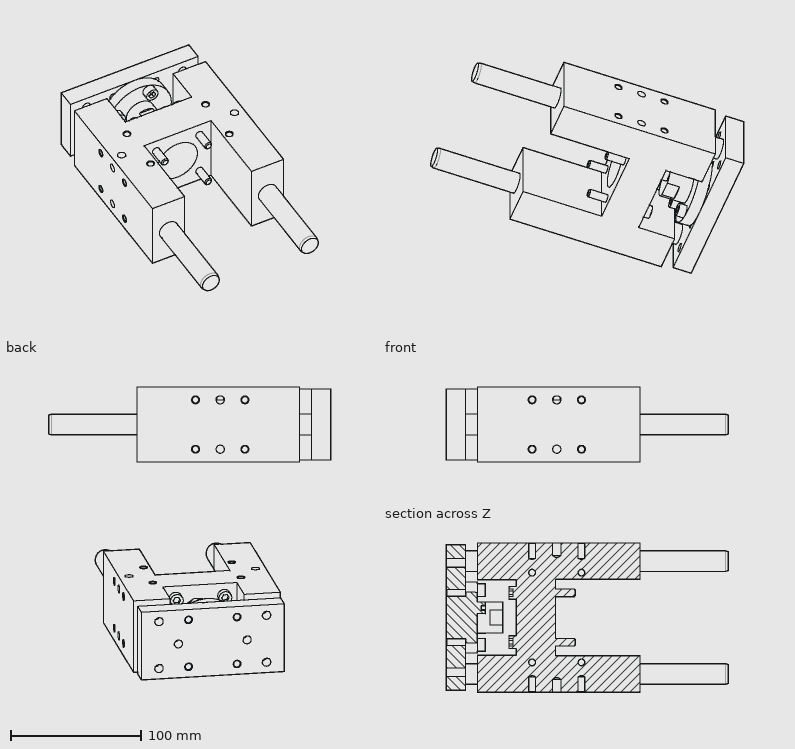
import cadquery as cq
import math

total_length = 217.0
sides = (-1, 1)

plate_thickness = 15.0
plate_width = 112.0
plate_height = 55.0
plate_corner_hole_diameter = 6.5
plate_corner_hole_y = 42.0
plate_dowel_hole_diameter = 6.3
plate_dowel_hole_y = 27.0

flange_diameter = plate_height
flange_thickness = 9.1
flange_end = plate_thickness + flange_thickness
boss_diameter = 24.0
boss_length = 19.5
boss_end = flange_end + boss_length
boss_flat_length = 10.0
boss_across_flats = 21.0
flange_screw_count = 4
flange_screw_circle_radius = 22.4
flange_screw_start_angle = 70.5
flange_head_height = 6.0

rod_diameter = 16.0
rod_y = 43.5
rod_chamfer_length = 2.2
rod_chamfer_depth = 0.7

housing_start = flange_end
housing_length = 125.0
housing_width = 115.0
housing_height = 58.0
housing_end = housing_start + housing_length
front_slot_depth = 29.7
front_slot_width = 58.0
rear_slot_width = 58.5
crossbar_thickness = 30.4
crossbar_start = housing_start + front_slot_depth
crossbar_end = crossbar_start + crossbar_thickness
coupling_bore_diameter = 35.0

screw_head_diameter = 10.0
screw_shank_diameter = 6.0
socket_across_flats = 5.0
socket_depth = 3.0
crossbar_head_height = 5.6
shank_protrusion = 15.2
shank_chamfer = 0.9

pattern_pitch = 38.0
pattern_offset = pattern_pitch / 2
pattern_offsets = (-pattern_offset, pattern_offset)

tapped_hole_diameter = 5.0
tapped_rim_diameter = 6.0
tapped_rim_depth = (tapped_rim_diameter - tapped_hole_diameter) / 2
tapped_hole_depth = 12.0
drill_tip_slope = 20.0
drill_tip_length = tapped_hole_diameter / 2 * math.tan(math.radians(drill_tip_slope))

mount_hole_center_x = 85.0
top_tapped_hole_y = 34.5
top_dowel_hole_y = 49.5
dowel_hole_diameter = 6.3
dowel_hole_depth = 10.0

ALONG_X = (1, 0, 0)
DOWN = (0, 0, -1)


def cylinder(diameter, length, point, direction=ALONG_X):
    """Cylinder that starts at a point and runs along a direction."""
    return cq.Workplane(cq.Solid.makeCylinder(diameter / 2, length, cq.Vector(*point), cq.Vector(*direction)))


def cone(start_diameter, end_diameter, length, point, direction=ALONG_X):
    """Cone or truncated cone that starts at a point and runs along a direction."""
    solid = cq.Solid.makeCone(
        start_diameter / 2, end_diameter / 2, length, cq.Vector(*point), cq.Vector(*direction)
    )
    return cq.Workplane(solid)


def x_block(start, length, width, height):
    """Box centred on the X axis, from a start position along +X."""
    block = cq.Workplane("XY").box(length, width, height, centered=(False, True, True))
    return block.translate((start, 0, 0))


def tapped_hole(point, direction):
    """Cutter for a blind hole with a countersunk rim and a conical drill tip."""
    tip_start = [p + d * tapped_hole_depth for p, d in zip(point, direction)]
    drill = cylinder(tapped_hole_diameter, tapped_hole_depth, point, direction)
    rim = cone(tapped_rim_diameter, tapped_hole_diameter, tapped_rim_depth, point, direction)
    tip = cone(tapped_hole_diameter, 0, drill_tip_length, tip_start, direction)
    return drill.union(rim).union(tip)


def dowel_hole(point, direction):
    """Cutter for a flat-bottomed dowel hole."""
    return cylinder(dowel_hole_diameter, dowel_hole_depth, point, direction)


def hex_socket(start, y, z):
    """Cutter for a screw socket, from a start position along +X."""
    across_corners = socket_across_flats / math.cos(math.radians(30))
    socket = cq.Workplane("YZ").polygon(6, across_corners).extrude(socket_depth)
    return socket.translate((start, y, z))


def pattern_points():
    """The (y, z) places of the square pattern."""
    return [(y, z) for y in pattern_offsets for z in pattern_offsets]


def make_plate():
    plate = x_block(0, plate_thickness, plate_width, plate_height)
    for side in sides:
        dowel_point = (0, side * plate_dowel_hole_y, 0)
        plate = plate.cut(cylinder(plate_dowel_hole_diameter, plate_thickness, dowel_point))
        for z in pattern_offsets:
            corner_point = (0, side * plate_corner_hole_y, z)
            plate = plate.cut(cylinder(plate_corner_hole_diameter, plate_thickness, corner_point))
    for y, z in pattern_points():
        plate = plate.cut(cylinder(tapped_hole_diameter, plate_thickness, (0, y, z)))
        plate = plate.cut(cone(tapped_rim_diameter, tapped_hole_diameter, tapped_rim_depth, (0, y, z)))
    return plate


def make_boss():
    """Round boss with two wrench flats, facing up and down, at its free end."""
    boss = cylinder(boss_diameter, boss_length, (flange_end, 0, 0))
    flat_cut = x_block(boss_end - boss_flat_length, boss_flat_length, boss_diameter, boss_diameter)
    for side in sides:
        flat_cut_z = side * (boss_across_flats + boss_diameter) / 2
        boss = boss.cut(flat_cut.translate((0, 0, flat_cut_z)))
    return boss


def make_coupling():
    coupling = cylinder(flange_diameter, flange_thickness, (plate_thickness, 0, 0)).union(make_boss())
    head_end = flange_end + flange_head_height
    for i in range(flange_screw_count):
        angle = math.radians(flange_screw_start_angle + 360 * i / flange_screw_count)
        y = flange_screw_circle_radius * math.cos(angle)
        z = flange_screw_circle_radius * math.sin(angle)
        head = cylinder(screw_head_diameter, flange_head_height, (flange_end, y, z))
        head = head.cut(hex_socket(head_end - socket_depth, y, z))
        coupling = coupling.union(head)
    return coupling


def make_guide_rod(y):
    rod = cylinder(rod_diameter, total_length - plate_thickness, (plate_thickness, y, 0))
    end_cone_start = total_length - rod_chamfer_length
    end_diameter = rod_diameter - 2 * rod_chamfer_depth
    end_block = x_block(end_cone_start, rod_chamfer_length, rod_diameter, rod_diameter).translate((0, y, 0))
    end_cone = cone(rod_diameter, end_diameter, rod_chamfer_length, (end_cone_start, y, 0))
    return rod.cut(end_block).union(end_cone)


def make_carriage():
    carriage = make_plate().union(make_coupling())
    for side in sides:
        carriage = carriage.union(make_guide_rod(side * rod_y))
    return carriage


def make_housing_blank():
    """H-shaped block with the coupling bore and the two guide rod bores."""
    blank = x_block(housing_start, housing_length, housing_width, housing_height)
    blank = blank.cut(x_block(housing_start, front_slot_depth, front_slot_width, housing_height))
    blank = blank.cut(x_block(crossbar_end, housing_end - crossbar_end, rear_slot_width, housing_height))
    blank = blank.cut(cylinder(coupling_bore_diameter, crossbar_thickness, (crossbar_start, 0, 0)))
    for side in sides:
        blank = blank.cut(cylinder(rod_diameter, housing_length, (housing_start, side * rod_y, 0)))
    return blank


def cut_top_holes(housing, side):
    top = housing_height / 2
    for offset in pattern_offsets:
        point = (mount_hole_center_x + offset, side * top_tapped_hole_y, top)
        housing = housing.cut(tapped_hole(point, DOWN))
    return housing.cut(dowel_hole((mount_hole_center_x, side * top_dowel_hole_y, top), DOWN))


def cut_side_holes(housing, side):
    face_y = side * housing_width / 2
    inward = (0, -side, 0)
    for z in pattern_offsets:
        housing = housing.cut(dowel_hole((mount_hole_center_x, face_y, z), inward))
        for offset in pattern_offsets:
            housing = housing.cut(tapped_hole((mount_hole_center_x + offset, face_y, z), inward))
    return housing


def add_crossbar_screw(housing, y, z):
    """Screw head in front of the crossbar and shank end behind it."""
    head_start = crossbar_start - crossbar_head_height
    head = cylinder(screw_head_diameter, crossbar_head_height, (head_start, y, z))
    head = head.cut(hex_socket(head_start, y, z))
    shank = cylinder(screw_shank_diameter, shank_protrusion, (crossbar_end, y, z))
    shank = shank.faces(">X").chamfer(shank_chamfer)
    return housing.union(head).union(shank)


def make_housing():
    housing = make_housing_blank()
    for side in sides:
        housing = cut_top_holes(housing, side)
        housing = cut_side_holes(housing, side)
    for y, z in pattern_points():
        housing = add_crossbar_screw(housing, y, z)
    return housing


housing = make_housing()
carriage = make_carriage()
result = cq.Compound.makeCompound([housing.solids().val(), carriage.solids().val()])